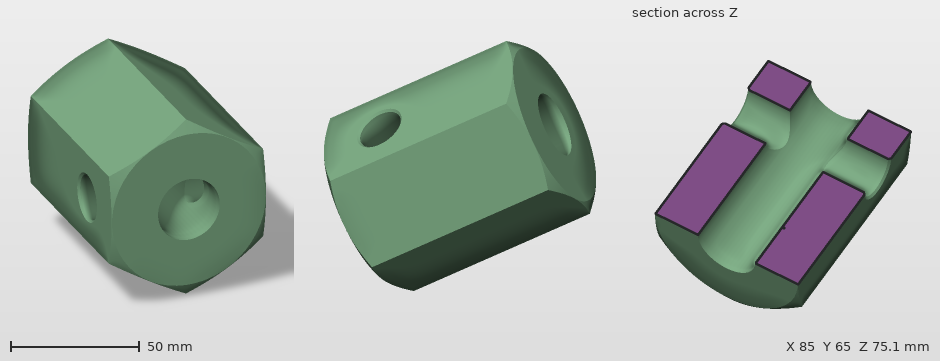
import cadquery as cq
import math

length = 85.0
across_flats = 65.0
end_face_diameter = 64.8
chamfer_angle = 30.0
bore_diameter = 26.0
cross_hole_diameter = 18.2
cross_hole_mouth_diameter = 20.0
cross_hole_x = 60.0
corner_clearance = 0.85

hexagon_step = math.radians(60)
across_corners = across_flats / math.cos(hexagon_step / 2)
end_radius = end_face_diameter / 2
turning_radius = across_corners / 2 + corner_clearance
chamfer_length = (turning_radius - end_radius) * math.tan(math.radians(chamfer_angle))
mouth_chamfer = (cross_hole_mouth_diameter - cross_hole_diameter) / 2


def hexagonal_bar():
    """Hexagon along X, with two flats facing -Y and +Y and corners at top and bottom."""
    corners = [
        (
            across_corners / 2 * math.sin(hexagon_step * i),
            across_corners / 2 * math.cos(hexagon_step * i),
        )
        for i in range(6)
    ]
    return cq.Workplane("YZ").polyline(corners).close().extrude(length)


def turned_envelope():
    """Solid of revolution about X whose conical ends chamfer the hexagon corners."""
    profile = [
        (0, 0),
        (0, end_radius),
        (chamfer_length, turning_radius),
        (length - chamfer_length, turning_radius),
        (length, end_radius),
        (length, 0),
    ]
    return cq.Workplane("XY").polyline(profile).close().revolve(360, (0, 0, 0), (1, 0, 0))


def axial_bore():
    return cq.Workplane("YZ").circle(bore_diameter / 2).extrude(length)


def cross_hole():
    """Through hole along Y with a 45 degree chamfer at each mouth."""
    half_width = across_flats / 2
    hole_radius = cross_hole_diameter / 2
    mouth_radius = cross_hole_mouth_diameter / 2
    half_profile = [
        (0, -half_width),
        (mouth_radius, -half_width),
        (hole_radius, -half_width + mouth_chamfer),
        (hole_radius, half_width - mouth_chamfer),
        (mouth_radius, half_width),
        (0, half_width),
    ]
    cutter = cq.Workplane("XY").polyline(half_profile).close().revolve(360, (0, 0, 0), (0, 1, 0))
    return cutter.translate((cross_hole_x, 0, 0))


result = hexagonal_bar().intersect(turned_envelope()).cut(axial_bore()).cut(cross_hole())